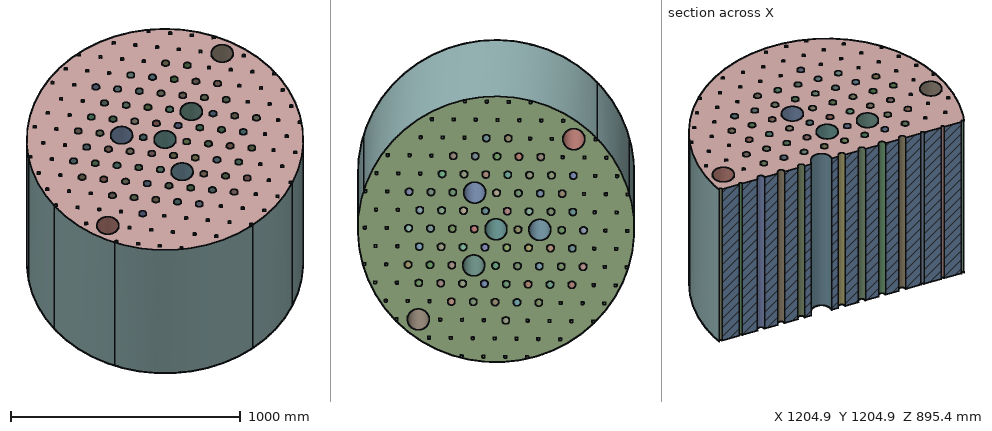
import cadquery as cq
import math

block_diameter = 1204.91
block_height = 895.35
hole_pitch = 95.25
large_diameter = 95.25
medium_diameter = 31.75
small_diameter = 12.7

column_step = hole_pitch * math.sqrt(3) / 2
row_step = hole_pitch / 2
last_column = 7
last_row = 12

large_places = [(0, 0), (0, 4), (-2, -2), (2, -2), (-1, 11), (1, -11)]
small_places_in_core = [(2, 8), (3, -7), (-5, -1)]
empty_places = [(-7, -3)]

rim_reach = (block_diameter - small_diameter) / 2
round_off = 0.001


def centre(place):
    """Position of a lattice place in the XY plane."""
    column, row = place
    return (column * column_step, row * row_step)


def reach(place):
    """Distance of a lattice place from the axis."""
    return math.hypot(*centre(place))


def sort_small_and_medium():
    """Split the lattice places left beside the large holes into small and medium holes."""
    core_reach = reach(small_places_in_core[0]) + round_off
    small = []
    medium = []
    for column in range(-last_column, last_column + 1):
        for row in range(-last_row, last_row + 1):
            place = (column, row)
            off_lattice = (column + row) % 2 != 0
            if off_lattice or reach(place) > rim_reach or place in large_places + empty_places:
                continue
            if reach(place) <= core_reach and place not in small_places_in_core:
                medium.append(place)
            else:
                small.append(place)
    return small, medium


def drill(body, places, diameter):
    """Cut round holes through the full height of the body."""
    points = [centre(place) for place in places]
    drills = cq.Workplane("XY").pushPoints(points).circle(diameter / 2).extrude(block_height)
    return body.cut(drills)


small_places, medium_places = sort_small_and_medium()

block = cq.Workplane("XY").circle(block_diameter / 2).extrude(block_height)
block = drill(block, large_places, large_diameter)
block = drill(block, medium_places, medium_diameter)
result = drill(block, small_places, small_diameter)